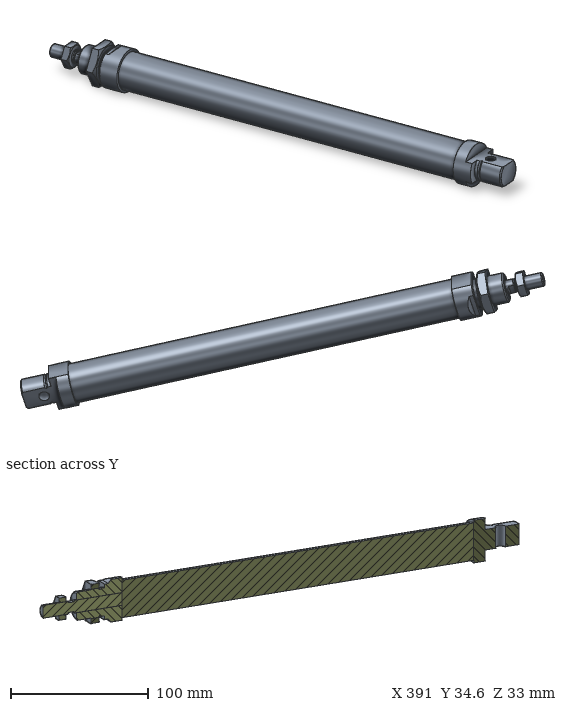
import cadquery as cq
import math

total_length = 391.0

rod_diameter = 10.0
rod_tip_diameter = 8.5
rod_groove_diameter = 9.0
rod_groove_center = 21.0
rod_groove_half_width = 0.8
rod_flat_width = 8.0
rod_flat_start = 21.5
rod_flat_end = 25.5

rod_nut_width = 17.2
rod_nut_start = 13.3
rod_nut_length = 6.0
mount_nut_width = 30.0
mount_nut_start = 39.5
mount_nut_length = 7.0
nut_chamfer_ratio = 0.96
nut_chamfer_angle = 30.0

boss_diameter = 22.0
boss_end_diameter = 20.0
boss_groove_diameter = 20.5
boss_groove_half_width = 1.0
boss_groove_distance = 3.5
boss_chamfer = (boss_diameter - boss_end_diameter) / 2

cap_diameter = 33.0
barrel_diameter = 29.0
cap_side_y = barrel_diameter / 2
front_boss_start = 27.8
front_cap_start = 50.5
front_cap_end = 65.3
rear_cap_start = 354.0
rear_cap_end = 368.7

cap_flat_width = 27.5
cap_flat_end = 53.5

tang_thickness = 16.0
tang_start = 363.2
pin_hole_diameter = 8.0
pin_hole_x = 375.8


def turned(outline):
    """Solid of revolution about X from (x, radius) corners."""
    return cq.Workplane("XZ").polyline(outline).close().revolve(360, (0, 0, 0), (1, 0, 0))


def cylinder(diameter, start, end):
    return turned([(start, 0), (start, diameter / 2), (end, diameter / 2), (end, 0)])


def cut_above_and_below(body, outline):
    """Cuts an (x, z) outline and its mirror image below the axis across the full depth in Y."""
    upper = cq.Workplane("XZ").polyline(outline).close().extrude(cap_diameter, both=True)
    return body.cut(upper).cut(upper.mirror("XY"))


def v_groove(center, half_width, radius, bottom_radius):
    """(x, radius) corners of a V groove turned into a cylinder."""
    return [
        (center - half_width, radius),
        (center, bottom_radius),
        (center + half_width, radius),
    ]


def cut_side_flat(cap, start, end):
    """Cuts the +Y side of a cap flat between two X positions."""
    waste = (
        cq.Workplane("XY")
        .box(end - start, cap_diameter, cap_diameter, centered=(False, False, True))
        .translate((start, cap_side_y, 0))
    )
    return cap.cut(waste)


def make_rod():
    radius = rod_diameter / 2
    tip_radius = rod_tip_diameter / 2
    rod = turned([
        (0, 0),
        (0, tip_radius),
        (radius - tip_radius, radius),
        *v_groove(rod_groove_center, rod_groove_half_width, radius, rod_groove_diameter / 2),
        (front_cap_end, radius),
        (front_cap_end, 0),
    ])
    flat_z = rod_flat_width / 2
    ramp_end = rod_flat_end + radius - flat_z
    return cut_above_and_below(rod, [
        (rod_flat_start, radius),
        (rod_flat_start, flat_z),
        (rod_flat_end, flat_z),
        (ramp_end, radius),
    ])


def make_nut(width, start, length, bore):
    """Hexagon nut with flats facing +Z and -Z, chamfered on its +X side."""
    corner_radius = width / math.sqrt(3)
    face_radius = nut_chamfer_ratio * width / 2
    chamfer_length = (corner_radius - face_radius) * math.tan(math.radians(nut_chamfer_angle))
    end = start + length
    hexagon = cq.Workplane("YZ", origin=(start, 0, 0)).polygon(6, 2 * corner_radius).extrude(length)
    envelope = turned([
        (start, 0),
        (start, corner_radius),
        (end - chamfer_length, corner_radius),
        (end, face_radius),
        (end, 0),
    ])
    return hexagon.intersect(envelope).cut(cylinder(bore, start, end))


def make_front_cap():
    boss_radius = boss_diameter / 2
    cap_radius = cap_diameter / 2
    groove_center = front_cap_start - boss_groove_distance
    cap = turned([
        (front_boss_start, 0),
        (front_boss_start, boss_end_diameter / 2),
        (front_boss_start + boss_chamfer, boss_radius),
        *v_groove(groove_center, boss_groove_half_width, boss_radius, boss_groove_diameter / 2),
        (front_cap_start, boss_radius),
        (front_cap_start, cap_radius),
        (front_cap_end, cap_radius),
        (front_cap_end, 0),
    ])
    flat_z = cap_flat_width / 2
    ramp_end = cap_flat_end + cap_radius - flat_z
    cap = cut_above_and_below(cap, [
        (front_cap_start, flat_z),
        (cap_flat_end, flat_z),
        (ramp_end, cap_radius),
        (front_cap_start, cap_radius),
    ])
    cap = cut_side_flat(cap, front_cap_start, front_cap_end)
    return cap.cut(cylinder(rod_diameter, front_boss_start, front_cap_end))


def make_barrel():
    return cylinder(barrel_diameter, front_cap_end, rear_cap_start)


def make_rear_cap():
    boss_radius = boss_diameter / 2
    cap_radius = cap_diameter / 2
    groove_center = rear_cap_end + boss_groove_distance
    cap = turned([
        (rear_cap_start, 0),
        (rear_cap_start, cap_radius),
        (rear_cap_end, cap_radius),
        (rear_cap_end, boss_radius),
        *v_groove(groove_center, boss_groove_half_width, boss_radius, boss_groove_diameter / 2),
        (total_length - boss_chamfer, boss_radius),
        (total_length, boss_end_diameter / 2),
        (total_length, 0),
    ])
    cap = cut_side_flat(cap, rear_cap_start, rear_cap_end)
    tang_z = tang_thickness / 2
    cap = cut_above_and_below(cap, [
        (tang_start, tang_z),
        (total_length, tang_z),
        (total_length, cap_radius),
        (tang_start, cap_radius),
    ])
    pin_hole = (
        cq.Workplane("XY")
        .center(pin_hole_x, 0)
        .circle(pin_hole_diameter / 2)
        .extrude(tang_thickness, both=True)
    )
    return cap.cut(pin_hole)


rod = make_rod()
rod_nut = make_nut(rod_nut_width, rod_nut_start, rod_nut_length, rod_diameter)
mount_nut = make_nut(mount_nut_width, mount_nut_start, mount_nut_length, boss_diameter)
front_cap = make_front_cap()
barrel = make_barrel()
rear_cap = make_rear_cap()

bodies = [rod, rod_nut, mount_nut, front_cap, barrel, rear_cap]
result = cq.Compound.makeCompound([body.val() for body in bodies])